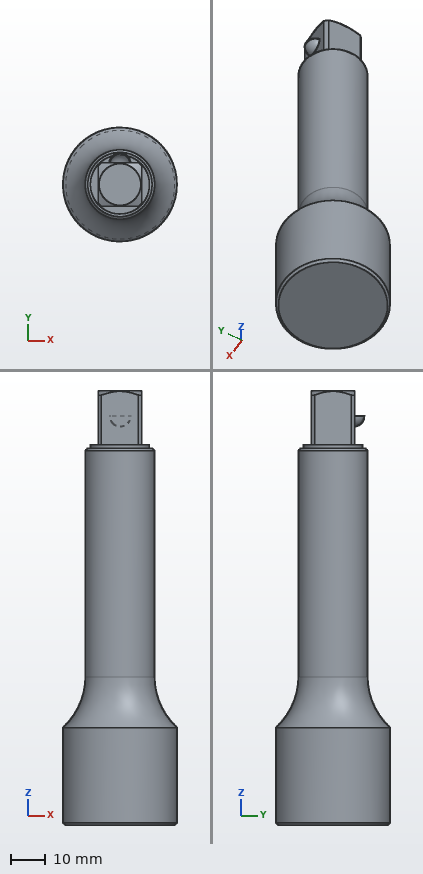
import cadquery as cq
import math

total_height = 125.3

barrel_diameter = 33.0
barrel_radius = barrel_diameter / 2
barrel_height = 28.2
barrel_chamfer = 0.8
shaft_radius = 10.0
flare_top = 42.9
shaft_top = 108.8
shaft_chamfer = 0.8

collar_radius = 8.5
collar_height = 1.0
collar_top = shaft_top + collar_height
drive_width = 12.7
drive_corner_radius = 8.3
tip_radius = 6.0
tip_drop = 1.3

detent_reach = 2.8
detent_radius = 3.1
detent_wall = 0.3
detent_top = 118.0


def make_body():
    """Solid of revolution whose flare is an arc tangent to the shaft."""
    flare_width = barrel_radius - shaft_radius
    flare_height = flare_top - barrel_height
    flare_radius = (flare_width**2 + flare_height**2) / (2 * flare_width)
    half_angle = math.asin(flare_height / flare_radius) / 2
    flare_mid = (
        shaft_radius + flare_radius * (1 - math.cos(half_angle)),
        flare_top - flare_radius * math.sin(half_angle),
    )
    body = (
        cq.Workplane("XZ")
        .lineTo(barrel_radius, 0)
        .lineTo(barrel_radius, barrel_height)
        .threePointArc(flare_mid, (shaft_radius, flare_top))
        .lineTo(shaft_radius, shaft_top)
        .lineTo(0, shaft_top)
        .close()
        .revolve(360, (0, 0), (0, 1))
    )
    return body.faces("<Z").edges().chamfer(barrel_chamfer).faces(">Z").edges().chamfer(shaft_chamfer)


def make_drive():
    """Square drive with turned corners and a conical tip, on its collar."""
    drive_height = total_height - collar_top
    square = (
        cq.Workplane("XY")
        .workplane(offset=collar_top)
        .rect(drive_width, drive_width)
        .extrude(drive_height)
    )
    turned_envelope = (
        cq.Workplane("XZ")
        .moveTo(0, collar_top)
        .lineTo(drive_corner_radius, collar_top)
        .lineTo(drive_corner_radius, total_height - tip_drop)
        .lineTo(tip_radius, total_height)
        .lineTo(0, total_height)
        .close()
        .revolve(360, (0, 0), (0, 1))
    )
    collar = cq.Workplane("XY").workplane(offset=shaft_top).circle(collar_radius).extrude(collar_height)
    return collar.union(square.intersect(turned_envelope))


def make_detent():
    """Lower half of a hollow sphere, kept only where it stands out from the drive face."""
    drive_face = drive_width / 2
    dome_center = drive_face + detent_reach - detent_radius
    hollow_sphere = cq.Workplane("XY").sphere(detent_radius).cut(
        cq.Workplane("XY").sphere(detent_radius - detent_wall)
    )
    dome = hollow_sphere.translate((0, dome_center, detent_top))
    kept_region = (
        cq.Workplane("XY")
        .box(2 * detent_radius, detent_reach, detent_radius, centered=(True, False, False))
        .translate((0, drive_face, detent_top - detent_radius))
    )
    return dome.intersect(kept_region)


body = make_body()
drive = make_drive()
detent = make_detent()

result = cq.Compound.makeCompound([body.val(), drive.val(), detent.val()])